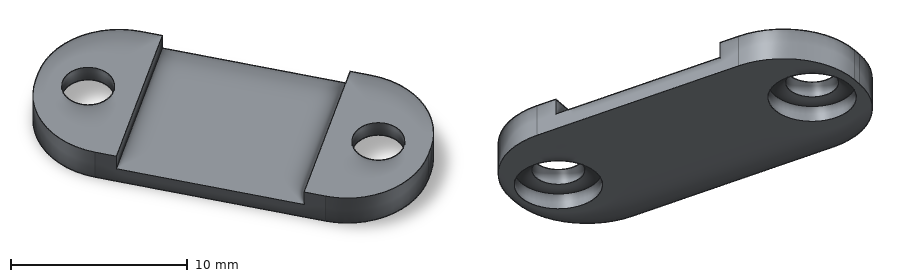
import cadquery as cq

length = 23
width = 10.0
height = 2.0
end_flat = 0.5
corner_radius = (width - end_flat) / 2

channel_length = 11.0
floor_thickness = height / 2

hole_diameter = 3
hole_spacing = 17.0

recess_diameter = 5.0
recess_depth = height / 2


def rounded_plate():
    plate = cq.Workplane("XY").box(length, width, height, centered=(True, True, False))
    return plate.edges("|Z").fillet(corner_radius)


def channel():
    channel_depth = height - floor_thickness
    return (
        cq.Workplane("XY")
        .workplane(offset=floor_thickness)
        .box(channel_length, width, channel_depth, centered=(True, True, False))
    )


def cylinders_at_holes(diameter, depth):
    return (
        cq.Workplane("XY")
        .pushPoints([(-hole_spacing / 2, 0), (hole_spacing / 2, 0)])
        .circle(diameter / 2)
        .extrude(depth)
    )


mounting_holes = cylinders_at_holes(hole_diameter, height)
underside_recesses = cylinders_at_holes(recess_diameter, recess_depth)

result = rounded_plate().cut(channel()).cut(mounting_holes).cut(underside_recesses)